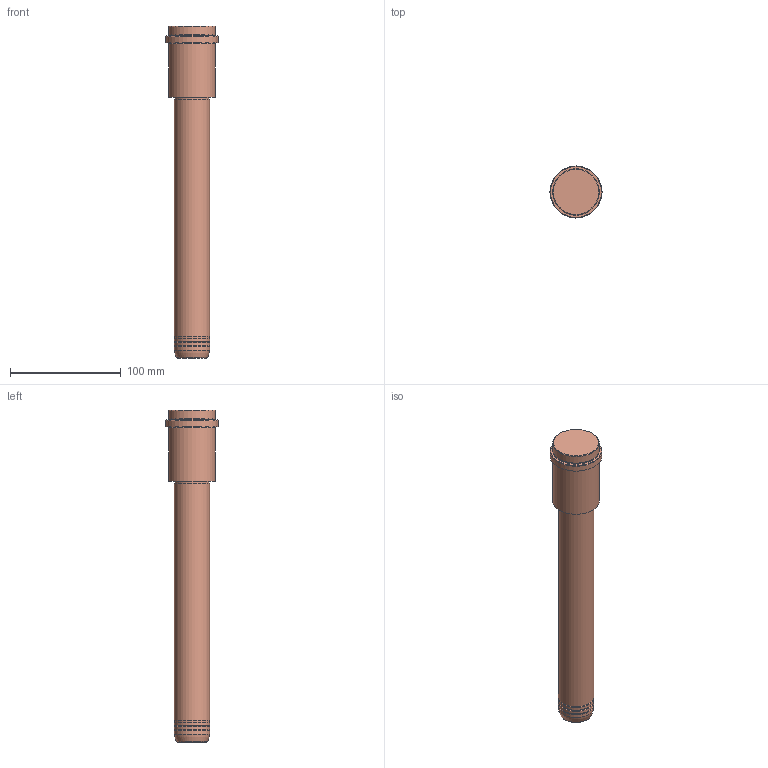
import cadquery as cq

total_length = 300.0
shaft_radius = 32.0 / 2
head_radius = 42.0 / 2
flange_radius = 47.0 / 2

top_chamfer = 0.5
head_length = 64.5
flange_drop = 9.0
flange_thickness = 6.0
flange_chamfer = 0.5
neck_width = 1.0
head_bottom = total_length - head_length
flange_top = total_length - flange_drop
flange_bottom = flange_top - flange_thickness

relief_width = 1.5
relief_depth = 0.5

tip_height = 7.0
tip_radius = 14.0
tip_fillet = 0.8
tip_bulge = 0.3

first_groove_bottom = 10.0
groove_pitch = 4.0
groove_count = 3
groove_width = 1.0


def make_pillar():
    """Shaft with rounded tip and chamfered head, as one revolved half profile."""
    arc_middle = ((tip_radius + shaft_radius) / 2 + tip_bulge, tip_height / 2)
    return (
        cq.Workplane("XZ")
        .lineTo(tip_radius, 0)
        .threePointArc(arc_middle, (shaft_radius, tip_height))
        .lineTo(shaft_radius, head_bottom)
        .lineTo(head_radius, head_bottom)
        .lineTo(head_radius, total_length - top_chamfer)
        .lineTo(head_radius - top_chamfer, total_length)
        .lineTo(0, total_length)
        .close()
        .revolve(360, (0, 0, 0), (0, 1, 0))
        .faces("<Z").edges().fillet(tip_fillet)
    )


def make_flange():
    """Collar around the head with a chamfered upper rim."""
    collar = cq.Workplane("XY").workplane(offset=flange_bottom)
    collar = collar.circle(flange_radius).extrude(flange_thickness)
    return collar.faces(">Z").edges().chamfer(flange_chamfer)


def make_relief():
    """Cutter for the square groove under the head."""
    return (
        cq.Workplane("XY")
        .workplane(offset=head_bottom - relief_width)
        .circle(shaft_radius)
        .circle(shaft_radius - relief_depth)
        .extrude(relief_width)
    )


def make_round_groove(radius, bottom, width):
    """Cutter for a half-round groove around a cylinder of the given radius."""
    middle = cq.Vector(0, 0, bottom + width / 2)
    return cq.Workplane(cq.Solid.makeTorus(radius, width / 2, middle))


result = make_pillar().union(make_flange())
result = result.cut(make_relief())
for groove_bottom in (flange_top, flange_bottom - neck_width):
    result = result.cut(make_round_groove(head_radius, groove_bottom, neck_width))
for index in range(groove_count):
    groove_bottom = first_groove_bottom + index * groove_pitch
    result = result.cut(make_round_groove(shaft_radius, groove_bottom, groove_width))